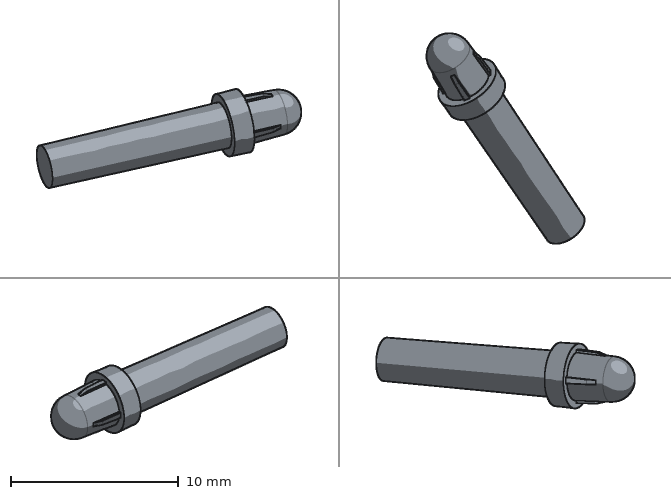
import cadquery as cq
import math

total_length = 16.36
head_length = 3.66
collar_length = 1.26
dome_height = 1.34
tip_y = head_length
dome_base_y = tip_y - dome_height
collar_bottom_y = -collar_length
shaft_end_y = tip_y - total_length

dome_base_radius = 1.37
head_root_radius = 1.47
collar_top_radius = 1.95
collar_bottom_radius = 1.91
shaft_root_radius = 1.4
shaft_end_radius = 1.31

rib_count = 4
rib_length = 1.88
rib_ramp_length = 0.54
rib_tip_width = 0.26
rib_root_width = 0.38
rib_ramp_radius = 1.55
rib_root_radius = 1.6
rib_embed_radius = 0.82


def make_body():
    """Revolve the domed head, collar and shaft about the Y axis."""
    sphere_radius = (dome_base_radius**2 + dome_height**2) / (2 * dome_height)
    half_angle = math.atan2(dome_base_radius, sphere_radius - dome_height) / 2
    dome_middle = (
        sphere_radius * math.sin(half_angle),
        tip_y - sphere_radius * (1 - math.cos(half_angle)),
    )
    return (
        cq.Workplane("XY")
        .moveTo(0, tip_y)
        .threePointArc(dome_middle, (dome_base_radius, dome_base_y))
        .lineTo(head_root_radius, 0)
        .lineTo(collar_top_radius, 0)
        .lineTo(collar_bottom_radius, collar_bottom_y)
        .lineTo(shaft_root_radius, collar_bottom_y)
        .lineTo(shaft_end_radius, shaft_end_y)
        .lineTo(0, shaft_end_y)
        .close()
        .revolve(360, (0, 0, 0), (0, 1, 0))
    )


def make_rib():
    """Make the +Z rib: a ramped side profile trimmed to a tapered width."""
    head_slope = (head_root_radius - dome_base_radius) / dome_base_y
    tip_radius = head_root_radius - head_slope * rib_length
    side_profile = (
        cq.Workplane("YZ")
        .moveTo(0, rib_embed_radius)
        .lineTo(0, rib_root_radius)
        .lineTo(rib_length - rib_ramp_length, rib_ramp_radius)
        .lineTo(rib_length, tip_radius)
        .lineTo(rib_length, rib_embed_radius)
        .close()
        .extrude(rib_root_width / 2, both=True)
    )
    tapered_width = (
        cq.Workplane("XY")
        .moveTo(-rib_root_width / 2, 0)
        .lineTo(rib_root_width / 2, 0)
        .lineTo(rib_tip_width / 2, rib_length)
        .lineTo(-rib_tip_width / 2, rib_length)
        .close()
        .extrude(collar_top_radius)
    )
    return side_profile.intersect(tapered_width)


result = make_body()
rib = make_rib()
for index in range(rib_count):
    rib_angle = index * 360 / rib_count
    result = result.union(rib.rotate((0, 0, 0), (0, 1, 0), rib_angle))